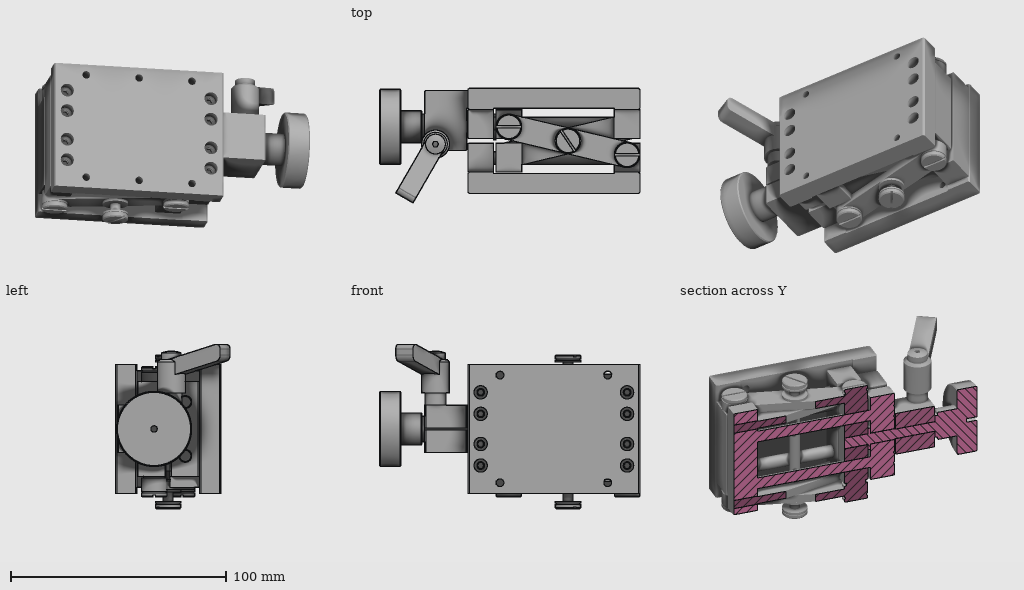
import cadquery as cq
import math


PLATE_LENGTH = 80.0
PLATE_HEIGHT = 60.0
PLATE_THICKNESS = 10.0
STAGE_DEPTH = 49.0
PLATE_CHAMFER = 0.7
RECESS_DEPTH = 0.6
PLATE_INNER_Y = STAGE_DEPTH / 2 - PLATE_THICKNESS
MOUNT_HOLE_DIAMETER = 3.6
MOUNT_HOLE_INSET = 15.0
MOUNT_HOLE_Z = 25.0
HEAD_RECESS_DIAMETER = 6.2
HEAD_RECESS_DEPTH = 5.3
SOCKET_RIM_DIAMETER = 3.6
SOCKET_RIM_DEPTH = 0.3
HEX_SOCKET_DIAMETER = 3.0
HEX_SOCKET_DEPTH = 2.0
SCREW_ROWS_Z = (-17.0, -7.0, 7.0, 17.0)

BLOCK_LENGTH = 12.0
BLOCK_INNER_Y = 1.0
BLOCK_CHAMFER = 0.5
END_BLOCK_HEIGHT = 44.0
LOW_BLOCK_HEIGHT = 43.0
TALL_BLOCK_HEIGHT = 54.2
SLIDER_GAP = 1.1
SLIDER_X = BLOCK_LENGTH + SLIDER_GAP
FAR_BLOCK_X = PLATE_LENGTH - BLOCK_LENGTH

ROD_DIAMETER = 6.0
ROD_Y = 8.0
ROD_Z = 12.5
ROD_END_GROOVE = 0.4

PIVOT_Y = 6.5
NEAR_PIVOT_X = SLIDER_X + BLOCK_LENGTH / 2
FAR_PIVOT_X = PLATE_LENGTH - BLOCK_LENGTH / 2
CENTRE_PIVOT_X = (NEAR_PIVOT_X + FAR_PIVOT_X) / 2
ARM_WIDTH = 11.8
PIVOT_SPAN_X = FAR_PIVOT_X - NEAR_PIVOT_X
PIVOT_DISTANCE = math.hypot(PIVOT_SPAN_X, 2 * PIVOT_Y)
ARM_THICKNESS = 4.0
ARM_GAP = 0.7
TOP_ARM_FACE_Z = 25.5
BOTTOM_ARM_FACE_Z = -28.2

HEAD_DIAMETER = 11.9
HEAD_HEIGHT = 3.4
HEAD_RIM = 0.8
HEAD_GROOVE_WIDTH = 0.7
HEAD_GROOVE_DEPTH = 0.4
HEAD_CHAMFER = 0.5
SLOT_WIDTH = 1.1
SLOT_DEPTH = 0.9
CENTRE_SLOT_ANGLE = -56.0
CENTRE_PIN_DIAMETER = 4.8
CENTRE_WASHER_THICKNESS = 1.2
CENTRE_HEAD_LIFT = 5.5
SPACER_DIAMETER = 10.0
SPACER_HEIGHT = 1.3

SPINDLE_Y = PIVOT_Y
SPINDLE_DIAMETER = 6.0
COLLAR_DIAMETER = 12.0
CLAMP_LENGTH = 20.0
FRONT_COLLAR_LENGTH = 1.3
HUB_DIAMETER = 15.0
HUB_LENGTH = 9.7
KNOB_DIAMETER = 35.0
KNOB_WIDTH = 10.0
KNOB_CHAMFER = 0.5
HUB_CHAMFER = 0.4
KNOB_HOLE_DIAMETER = 3.0
KNOB_HOLE_DEPTH = 5.0

CLAMP_BACK_Y = 23.5
CLAMP_FRONT_Y = -4.5
CLAMP_HEIGHT = 22.0
CLAMP_SLIT = 1.0
CLAMP_CHAMFER = 0.5
CLAMP_RELIEF = 0.4
CLAMP_RELIEF_BACK_Y = PLATE_INNER_Y + PLATE_CHAMFER
CLAMP_SCREW_Y = 17.3
CLAMP_SCREW_Z = 5.3
CLAMP_SCREW_DEPTH = 10.0

LEVER_X = -15.0
LEVER_Y = -1.5
STEM_DIAMETER = 9.9
LEVER_HUB_DIAMETER = 13.0
LEVER_HUB_BOTTOM_Z = 16.8
LEVER_HUB_TOP_Z = 32.2
LEVER_HUB_CHAMFER = 1.0
CAP_DIAMETER = 9.2
CAP_TOP_Z = 36.2
CAP_DOME_HEIGHT = 0.9
CAP_SOCKET_DIAMETER = 2.9
CAP_SOCKET_DEPTH = 2.0
HANDLE_DIRECTION = 240.0
HANDLE_REACH = 28.9
HANDLE_WIDTH = 9.3
HANDLE_RISE = 15.5
HANDLE_ROOT_BOTTOM_Z = 24.0
HANDLE_ROOT_TOP_Z = 32.0
HANDLE_TOP_RADIUS = 2.2
HANDLE_BOTTOM_RADIUS = 3.0


def box(x, y, z):
    """Box from (start, end) pairs along each axis."""
    size = [abs(end - start) for start, end in (x, y, z)]
    centre = [(start + end) / 2 for start, end in (x, y, z)]
    return cq.Workplane("XY").box(*size).translate(tuple(centre))


def cylinder_x(diameter, x_start, x_end, y, z):
    plane = cq.Workplane("YZ", origin=(x_start, y, z))
    return plane.circle(diameter / 2).extrude(x_end - x_start)


def cylinder_z(diameter, x, y, z_start, z_end):
    plane = cq.Workplane("XY", origin=(x, y, min(z_start, z_end)))
    return plane.circle(diameter / 2).extrude(abs(z_end - z_start))


def block(x_start, side, height):
    """Block filling half the space between the plates; side is +1 at the back, -1 at the front."""
    return box(
        (x_start, x_start + BLOCK_LENGTH),
        (side * BLOCK_INNER_Y, side * PLATE_INNER_Y),
        (-height / 2, height / 2),
    )


def guide_rods(side, x_start, x_end):
    rods = cq.Workplane("XY")
    for z in (-ROD_Z, ROD_Z):
        rods = rods.add(cylinder_x(ROD_DIAMETER, x_start, x_end, side * ROD_Y, z))
    return rods.combine()


def plate(side, mount_holes_x):
    outer_y = side * STAGE_DEPTH / 2
    inner_y = side * PLATE_INNER_Y
    body = box((0, PLATE_LENGTH), (inner_y, outer_y), (-PLATE_HEIGHT / 2, PLATE_HEIGHT / 2))
    body = body.edges("|Z").chamfer(PLATE_CHAMFER)
    recess_y = (inner_y, inner_y + side * RECESS_DEPTH)
    body = body.cut(box((BLOCK_LENGTH, FAR_BLOCK_X), recess_y, (-PLATE_HEIGHT, PLATE_HEIGHT)))
    face = cq.Workplane("XZ", origin=(0, outer_y, 0))
    mount_points = [(x, z) for x in mount_holes_x for z in (-MOUNT_HOLE_Z, MOUNT_HOLE_Z)]
    screw_points = [(x, z) for x in (BLOCK_LENGTH / 2, FAR_PIVOT_X) for z in SCREW_ROWS_Z]
    mount_depth = side * PLATE_THICKNESS
    body = body.cut(face.pushPoints(mount_points).circle(MOUNT_HOLE_DIAMETER / 2).extrude(mount_depth))
    recess_depth = side * HEAD_RECESS_DEPTH
    body = body.cut(face.pushPoints(screw_points).circle(HEAD_RECESS_DIAMETER / 2).extrude(recess_depth))
    rim_depth = side * (HEAD_RECESS_DEPTH + SOCKET_RIM_DEPTH)
    body = body.cut(face.pushPoints(screw_points).circle(SOCKET_RIM_DIAMETER / 2).extrude(rim_depth))
    socket_depth = side * (HEAD_RECESS_DEPTH + HEX_SOCKET_DEPTH)
    return body.cut(face.pushPoints(screw_points).polygon(6, HEX_SOCKET_DIAMETER).extrude(socket_depth))


def stage(side, mount_holes_x, far_block_height):
    """Plate with its two blocks and two guide rods."""
    end_block = block(0, side, END_BLOCK_HEIGHT).edges("|Z and <X").chamfer(BLOCK_CHAMFER)
    body = plate(side, mount_holes_x).union(end_block)
    body = body.union(block(FAR_BLOCK_X, side, far_block_height))
    body = body.union(guide_rods(side, 0, PLATE_LENGTH))
    for z in (-ROD_Z, ROD_Z):
        groove = cylinder_x(ROD_DIAMETER, 0, ROD_END_GROOVE, side * ROD_Y, z)
        rod_end = cylinder_x(ROD_DIAMETER - 2 * ROD_END_GROOVE, 0, ROD_END_GROOVE, side * ROD_Y, z)
        body = body.cut(groove.cut(rod_end))
    return body


def arm_plane(near_side, face_z):
    """Plane on an arm's outer face, at the centre pivot, with its X along the arm."""
    rise = -2 * near_side * PIVOT_Y
    plane = cq.Workplane("XY", origin=(CENTRE_PIVOT_X, 0, face_z))
    return plane.transformed(rotate=(0, 0, math.degrees(math.atan2(rise, PIVOT_SPAN_X))))


def outer_arm(face_z, direction):
    """Straight bar from the back slider to the front far block; its ends are the pivot bosses."""
    return arm_plane(1, face_z).rect(PIVOT_DISTANCE, ARM_WIDTH).extrude(-direction * ARM_THICKNESS)


def inner_arm(face_z, direction):
    """Round-ended bar from the front slider to the back far block."""
    bar = arm_plane(-1, face_z).slot2D(PIVOT_DISTANCE + ARM_WIDTH, ARM_WIDTH)
    return bar.extrude(-direction * ARM_THICKNESS)


def screw_head(x, y, base_z, direction, slot_angle, boss_height=0):
    """Grooved, slotted head standing on base_z and pointing along direction (+1 up, -1 down).

    A boss of the head's own diameter may continue below base_z.
    """
    radius = HEAD_DIAMETER / 2
    groove_radius = radius - HEAD_GROOVE_DEPTH
    groove_top = HEAD_RIM + HEAD_GROOVE_WIDTH
    head = (
        cq.Workplane("XZ")
        .polyline([
            (0, -boss_height),
            (radius, -boss_height),
            (radius, HEAD_RIM),
            (groove_radius, HEAD_RIM),
            (groove_radius, groove_top),
            (radius, groove_top),
            (radius, HEAD_HEIGHT - HEAD_CHAMFER),
            (radius - HEAD_CHAMFER, HEAD_HEIGHT),
            (0, HEAD_HEIGHT),
        ])
        .close()
        .revolve(360, (0, 0, 0), (0, 1, 0))
    )
    slot = box(
        (-HEAD_DIAMETER, HEAD_DIAMETER),
        (-SLOT_WIDTH / 2, SLOT_WIDTH / 2),
        (HEAD_HEIGHT - SLOT_DEPTH, HEAD_HEIGHT),
    )
    head = head.cut(slot.rotate((0, 0, 0), (0, 0, 1), slot_angle))
    if direction < 0:
        head = head.mirror("XY")
    return head.translate((x, y, base_z))


def arm_pair(face_z, direction):
    """Outer and inner arm with the pivot screws, on the top (+1) or the bottom (-1)."""
    inner_face_z = face_z - direction * (ARM_THICKNESS + ARM_GAP)
    block_face_z = direction * LOW_BLOCK_HEIGHT / 2
    seat_gap = abs(face_z - block_face_z) - ARM_THICKNESS
    spacer_height = max(0, min(SPACER_HEIGHT, seat_gap))
    boss_height = ARM_THICKNESS + seat_gap - spacer_height
    pair = outer_arm(face_z, direction).union(inner_arm(inner_face_z, direction))
    for x, y in ((NEAR_PIVOT_X, PIVOT_Y), (FAR_PIVOT_X, -PIVOT_Y)):
        pair = pair.union(screw_head(x, y, face_z, direction, 0, boss_height))
        if spacer_height > 0:
            spacer_end_z = block_face_z + direction * spacer_height
            pair = pair.union(cylinder_z(SPACER_DIAMETER, x, y, block_face_z, spacer_end_z))
    washer_z = face_z + direction * CENTRE_WASHER_THICKNESS
    head_z = face_z + direction * CENTRE_HEAD_LIFT
    pair = pair.union(cylinder_z(HEAD_DIAMETER, CENTRE_PIVOT_X, 0, face_z, washer_z))
    return pair.union(screw_head(CENTRE_PIVOT_X, 0, head_z, direction, CENTRE_SLOT_ANGLE))


def scissor():
    """Both pairs of arms, the centre pin and the two sliders."""
    body = block(SLIDER_X, 1, LOW_BLOCK_HEIGHT).union(arm_pair(TOP_ARM_FACE_Z, 1))
    body = body.union(block(SLIDER_X, -1, TALL_BLOCK_HEIGHT))
    body = body.union(arm_pair(BOTTOM_ARM_FACE_Z, -1))
    pin_bottom = BOTTOM_ARM_FACE_Z - CENTRE_HEAD_LIFT
    pin_top = TOP_ARM_FACE_Z + CENTRE_HEAD_LIFT
    body = body.union(cylinder_z(CENTRE_PIN_DIAMETER, CENTRE_PIVOT_X, 0, pin_bottom, pin_top))
    for side in (-1, 1):
        body = body.cut(guide_rods(side, 0, PLATE_LENGTH))
    return body.cut(spindle_shaft())


def spindle_shaft():
    return cylinder_x(SPINDLE_DIAMETER, -CLAMP_LENGTH, SLIDER_X + BLOCK_LENGTH, SPINDLE_Y, 0)


def spindle():
    hub_end = -CLAMP_LENGTH - FRONT_COLLAR_LENGTH
    knob_end = hub_end - HUB_LENGTH
    knob_face = knob_end - KNOB_WIDTH
    knob = cylinder_x(KNOB_DIAMETER, knob_face, knob_end, SPINDLE_Y, 0).edges().chamfer(KNOB_CHAMFER)
    hub = cylinder_x(HUB_DIAMETER, knob_end, hub_end, SPINDLE_Y, 0).edges(">X").chamfer(HUB_CHAMFER)
    body = knob.union(hub)
    body = body.union(cylinder_x(COLLAR_DIAMETER, hub_end, -CLAMP_LENGTH, SPINDLE_Y, 0))
    body = body.union(spindle_shaft())
    body = body.union(cylinder_x(COLLAR_DIAMETER, BLOCK_LENGTH, SLIDER_X, SPINDLE_Y, 0))
    return body.cut(cylinder_x(KNOB_HOLE_DIAMETER, knob_face, knob_face + KNOB_HOLE_DEPTH, SPINDLE_Y, 0))


def clamp_block():
    """Split block around the spindle; the slit runs from the front face to the bore.

    The end against the stage is relieved, so it bears on the back plate only.
    """
    body = box((-CLAMP_LENGTH, 0), (CLAMP_FRONT_Y, CLAMP_BACK_Y), (-CLAMP_HEIGHT / 2, CLAMP_HEIGHT / 2))
    relief_y = (CLAMP_FRONT_Y, CLAMP_RELIEF_BACK_Y)
    body = body.cut(box((-CLAMP_RELIEF, 0), relief_y, (-CLAMP_HEIGHT, CLAMP_HEIGHT)))
    body = body.edges("|Z and (<X or <Y)").chamfer(CLAMP_CHAMFER)
    hole_end = -CLAMP_LENGTH + CLAMP_SCREW_DEPTH
    for z in (-CLAMP_SCREW_Z, CLAMP_SCREW_Z):
        body = body.cut(cylinder_x(HEAD_RECESS_DIAMETER, -CLAMP_LENGTH, hole_end, CLAMP_SCREW_Y, z))
    body = body.cut(box((-CLAMP_LENGTH, 0), (CLAMP_FRONT_Y, SPINDLE_Y), (-CLAMP_SLIT / 2, CLAMP_SLIT / 2)))
    return body.cut(spindle_shaft())


def lever_handle():
    """Inclined handle, drawn along the radius from the lever axis and then turned into place."""
    rise = HANDLE_REACH * math.tan(math.radians(HANDLE_RISE))
    handle = (
        cq.Workplane("XZ")
        .polyline([
            (0, HANDLE_ROOT_BOTTOM_Z),
            (HANDLE_REACH, HANDLE_ROOT_BOTTOM_Z + rise),
            (HANDLE_REACH, HANDLE_ROOT_TOP_Z + rise),
            (0, HANDLE_ROOT_TOP_Z),
        ])
        .close()
        .extrude(HANDLE_WIDTH / 2, both=True)
    )
    handle = handle.edges("|Y and >X and >Z").fillet(HANDLE_TOP_RADIUS)
    handle = handle.faces(">X").edges("|Y and <Z").fillet(HANDLE_BOTTOM_RADIUS)
    handle = handle.rotate((0, 0, 0), (0, 0, 1), HANDLE_DIRECTION)
    return handle.translate((LEVER_X, LEVER_Y, 0))


def clamp_lever():
    stem = cylinder_z(STEM_DIAMETER, LEVER_X, LEVER_Y, CLAMP_HEIGHT / 2, LEVER_HUB_BOTTOM_Z)
    hub = cylinder_z(LEVER_HUB_DIAMETER, LEVER_X, LEVER_Y, LEVER_HUB_BOTTOM_Z, LEVER_HUB_TOP_Z)
    hub = hub.edges(">Z").chamfer(LEVER_HUB_CHAMFER)
    cap = cylinder_z(CAP_DIAMETER, LEVER_X, LEVER_Y, LEVER_HUB_TOP_Z, CAP_TOP_Z)
    dome_radius = ((CAP_DIAMETER / 2) ** 2 + CAP_DOME_HEIGHT**2) / (2 * CAP_DOME_HEIGHT)
    dome_ball = cq.Workplane("XY").sphere(dome_radius).translate((LEVER_X, LEVER_Y, CAP_TOP_Z - dome_radius))
    cap = cap.intersect(dome_ball)
    socket = cq.Workplane("XY", origin=(LEVER_X, LEVER_Y, CAP_TOP_Z))
    socket = socket.polygon(6, CAP_SOCKET_DIAMETER).extrude(-CAP_SOCKET_DEPTH)
    return stem.union(hub).union(lever_handle()).union(cap).cut(socket)


far_mount_x = PLATE_LENGTH - MOUNT_HOLE_INSET
scissor_mechanism = scissor()
knob_spindle = spindle()
clamp = clamp_block()
lever = clamp_lever()

back_stage = stage(1, (MOUNT_HOLE_INSET, PLATE_LENGTH / 2, far_mount_x), TALL_BLOCK_HEIGHT)
back_stage = back_stage.cut(scissor_mechanism).cut(knob_spindle)
front_stage = stage(-1, (MOUNT_HOLE_INSET, far_mount_x), LOW_BLOCK_HEIGHT)
front_stage = front_stage.cut(scissor_mechanism)

result = cq.Compound.makeCompound([
    *back_stage.solids().vals(),
    *front_stage.solids().vals(),
    *scissor_mechanism.solids().vals(),
    *knob_spindle.solids().vals(),
    *clamp.solids().vals(),
    *lever.solids().vals(),
])